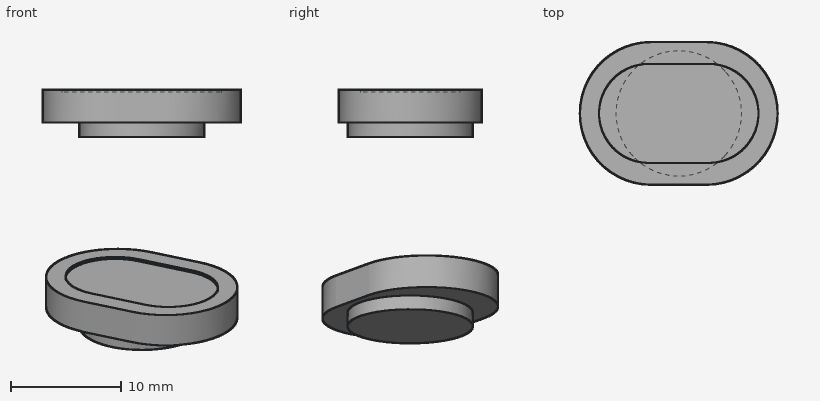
import cadquery as cq

plate_length = 18.0
plate_width = 13.0
plate_height = 3.0

recess_length = 14.5
recess_width = 9.0
recess_depth = 0.2

boss_diameter = 11.4
boss_height = 1.3


def stadium(length, width, height, base_z):
    """Upright stadium-shaped prism, long along X, standing on base_z."""
    return cq.Workplane("XY", origin=(0, 0, base_z)).slot2D(length, width).extrude(height)


def make_boss():
    """Round boss standing on Z = 0, reaching up to the plate."""
    return cq.Workplane("XY").circle(boss_diameter / 2).extrude(boss_height)


plate_top_z = boss_height + plate_height
plate = stadium(plate_length, plate_width, plate_height, boss_height)
recess = stadium(recess_length, recess_width, recess_depth, plate_top_z - recess_depth)

result = plate.union(make_boss()).cut(recess)